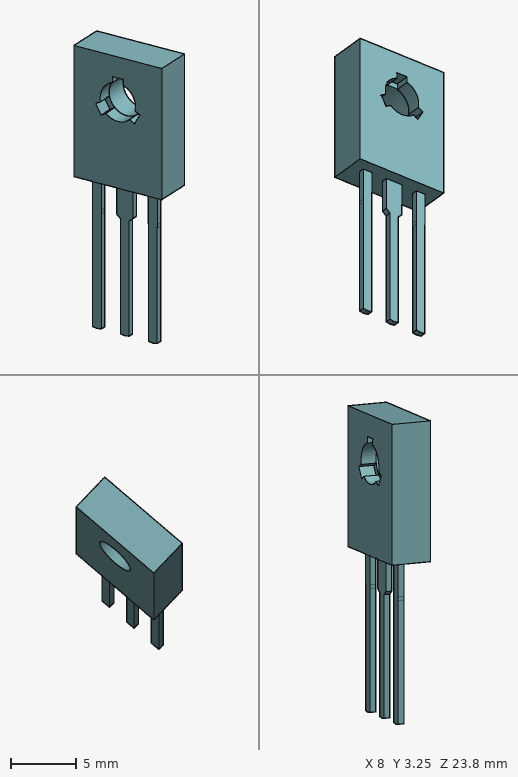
import cadquery as cq

body_width = 8.0
body_depth = 3.25
body_height = 11.0
front_y = -body_depth / 2

hole_drop = 3.8
hole_z = body_height - hole_drop
front_bore_diameter = 3.2
rear_bore_diameter = 3.16
front_bore_depth = 1.25

notch_count = 3
notch_width = 0.97
notch_reach = 2.03
notch_depth = front_bore_depth

lead_length = 12.75
lead_pitch = 2.54
lead_thickness = 0.5
lead_setback = 1.25
lead_center_y = front_y + lead_setback
lead_tip_height = 0.06
outer_lead_width = 0.81
outer_shoulder_width = 0.83
center_lead_width = 0.79
center_shoulder_width = 1.5
shoulder_length = 2.73
shoulder_taper_height = 0.3


def make_body():
    return cq.Workplane("XY").box(body_width, body_depth, body_height, centered=(True, True, False))


def bore(diameter, depth):
    """Cylinder along the hole axis, measured from the front face."""
    return cq.Workplane("XZ", origin=(0, front_y, hole_z)).circle(diameter / 2).extrude(-depth)


def make_notch(index):
    """Flat-ended radial slot beside the front bore; index 0 points up."""
    notch = cq.Workplane("XY").box(
        notch_width, notch_depth, notch_reach, centered=(True, False, False)
    )
    turned = notch.rotate((0, 0, 0), (0, 1, 0), index * 360 / notch_count)
    return turned.translate((0, front_y, hole_z))


def make_lead(x_center, width, root_width):
    """Flat lead with a shallow pointed tip and a wider root."""
    half = width / 2
    half_root = root_width / 2
    tip_shoulder_z = lead_tip_height - lead_length
    right_side = [
        (half, tip_shoulder_z),
        (half, -shoulder_length - shoulder_taper_height),
        (half_root, -shoulder_length),
        (half_root, 0),
    ]
    left_side = [(-x, z) for x, z in reversed(right_side)]
    outline = [(0, -lead_length)] + right_side + left_side
    plane = cq.Workplane("XZ", origin=(x_center, lead_center_y, 0))
    return plane.polyline(outline).close().extrude(lead_thickness / 2, both=True)


def make_part():
    part = make_body()
    part = part.cut(bore(rear_bore_diameter, body_depth))
    part = part.cut(bore(front_bore_diameter, front_bore_depth))
    for index in range(notch_count):
        part = part.cut(make_notch(index))
    for x_center in (-lead_pitch, lead_pitch):
        part = part.union(make_lead(x_center, outer_lead_width, outer_shoulder_width))
    return part.union(make_lead(0, center_lead_width, center_shoulder_width))


result = make_part()